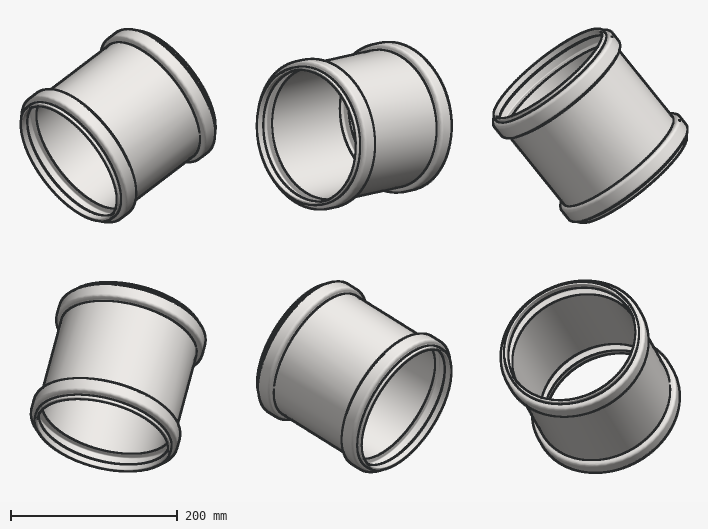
import cadquery as cq
import math

length = 164.0
bead_diameter = 181.3
pipe_diameter = 167.5
collar_diameter = 167.9
bore_diameter = 160.5
mouth_diameter = 160.8
groove_diameter = 174.2

collar_length = 5.5
bead_width = 20.5
flank_angle = 8.0
bead_radius = 3.6
flank_overlap = 0.9
root_radius = 1.0
lip_radius = 1.0
groove_radius = 1.5
rim_radius = 0.7

wall = (bead_diameter - groove_diameter) / 2
groove_width = bead_width - 2 * wall
bead_offset = length / 2 - collar_length - bead_width / 2
end_reach = collar_length + bead_width / 2
end_center = (length - end_reach) / 2


def disc(diameter, width, center):
    """Solid disc about the Y axis, centred at the given Y."""
    plate = cq.Workplane("XZ").circle(diameter / 2).extrude(width / 2, both=True)
    return plate.translate((0, center, 0))


def tapered_ring(diameter, foot_diameter, foot_width, edge_radius, center):
    """Disc with leaning flanks, its foot width held at the foot diameter, and rounded edges."""
    slope = math.tan(math.radians(flank_angle))
    radius = diameter / 2
    half_crest = foot_width / 2 - (radius - foot_diameter / 2) * slope
    core = foot_diameter / 2 - flank_overlap
    half_core = foot_width / 2 + flank_overlap * slope
    flank = [(0, half_core), (core, half_core), (radius, half_crest)]
    outline = flank + [(x, -y) for x, y in reversed(flank)]
    ring = cq.Workplane("XY").polyline(outline).close().revolve(360, (0, 0), (0, 1))
    crest = edges_at(-half_crest, radius) + edges_at(half_crest, radius)
    return ring.edges(crest).fillet(edge_radius).translate((0, center, 0))


def edges_at(y, radius):
    """Selector for the circular edge at the given Y and radius."""
    slack = 0.2
    reach = radius + slack
    return cq.selectors.BoxSelector((-reach, y - slack, -reach), (reach, y + slack, reach), boundingbox=True)


body = disc(pipe_diameter, length, 0)
for side in (-1, 1):
    body = body.union(disc(collar_diameter, end_reach, side * end_center))
    body = body.union(tapered_ring(bead_diameter, pipe_diameter, bead_width, bead_radius, side * bead_offset))
for side in (-1, 1):
    for half_width, diameter in ((bead_width / 2, collar_diameter), (-bead_width / 2, pipe_diameter)):
        root = edges_at(side * (bead_offset + half_width), diameter / 2)
        body = body.edges(root).fillet(root_radius)

cavity = disc(bore_diameter, length, 0)
for side in (-1, 1):
    cavity = cavity.union(disc(mouth_diameter, end_reach, side * end_center))
    cavity = cavity.union(
        tapered_ring(groove_diameter, bore_diameter, groove_width, groove_radius, side * bead_offset)
    )
for side in (-1, 1):
    for half_width, diameter in ((groove_width / 2, mouth_diameter), (-groove_width / 2, bore_diameter)):
        lip = edges_at(side * (bead_offset + half_width), diameter / 2)
        cavity = cavity.edges(lip).fillet(lip_radius)

result = body.cut(cavity).faces("<Y or >Y").edges().fillet(rim_radius)